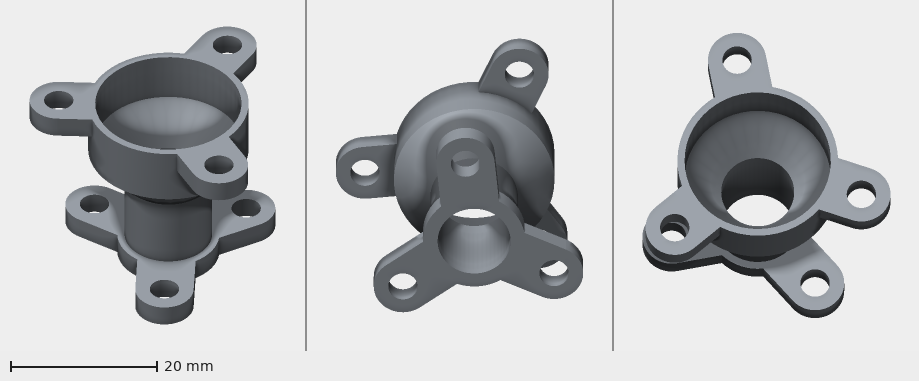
import cadquery as cq
import math

overall_width = 33.98
overall_height = 26.0
flange_thickness = 3.0

cup_outer_diameter = 22.0
cup_inner_diameter = 20.0
tube_outer_diameter = 12.0
tube_inner_diameter = 10.0
base_disc_diameter = 14.0

cone_bottom_z = 13.0
cone_top_z = 18.0
bore_cone_rise = 1.0

lug_count = 3
lug_width = 8.0
lug_hole_diameter = 4.0
base_lug_reach = 12.0
base_first_angle = 60
cup_first_angle = 90

cup_lug_reach = (overall_width - lug_width) / 2 / math.cos(math.radians(30))
cup_lug_bottom_z = overall_height - flange_thickness


def funnel(tube_diameter, cup_diameter, cone_rise=0):
    """Solid of revolution: straight tube, cone, then straight cup.

    cone_rise lifts the cone along the axis.
    """
    tube_radius = tube_diameter / 2
    cup_radius = cup_diameter / 2
    return (
        cq.Workplane("XZ")
        .moveTo(0, 0)
        .lineTo(tube_radius, 0)
        .lineTo(tube_radius, cone_bottom_z + cone_rise)
        .lineTo(cup_radius, cone_top_z + cone_rise)
        .lineTo(cup_radius, overall_height)
        .lineTo(0, overall_height)
        .close()
        .revolve(360, (0, 0, 0), (0, 1, 0))
    )


def lug_ring(reach, first_angle, bottom_z):
    """Round-ended lugs running out from the axis, evenly spaced, with bolt holes."""
    lug = (
        cq.Workplane("XY")
        .rect(reach, lug_width)
        .extrude(flange_thickness)
        .translate((reach / 2, 0, 0))
    )
    lug_end = cq.Workplane("XY").center(reach, 0).circle(lug_width / 2).extrude(flange_thickness)
    bolt_hole = cq.Workplane("XY").center(reach, 0).circle(lug_hole_diameter / 2).extrude(flange_thickness)
    lug = lug.union(lug_end).cut(bolt_hole).translate((0, 0, bottom_z))

    ring = cq.Workplane("XY")
    for index in range(lug_count):
        angle = first_angle + index * 360 / lug_count
        ring = ring.add(lug.rotate((0, 0, 0), (0, 0, 1), angle))
    return ring.combine()


base_disc = cq.Workplane("XY").circle(base_disc_diameter / 2).extrude(flange_thickness)

result = (
    funnel(tube_outer_diameter, cup_outer_diameter)
    .union(base_disc)
    .union(lug_ring(base_lug_reach, base_first_angle, 0))
    .union(lug_ring(cup_lug_reach, cup_first_angle, cup_lug_bottom_z))
    .cut(funnel(tube_inner_diameter, cup_inner_diameter, bore_cone_rise))
)